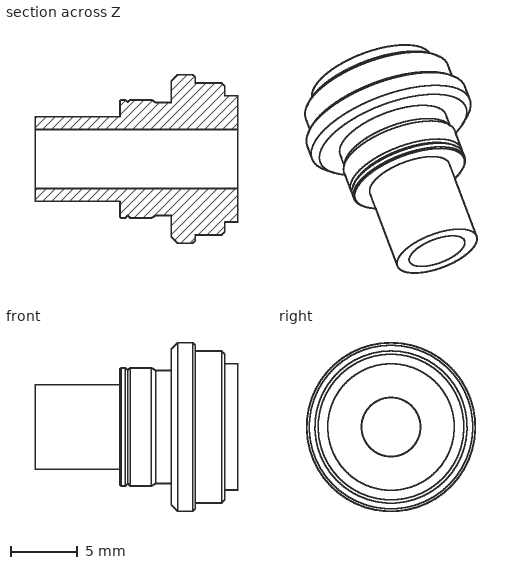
import cadquery as cq

bore_radius = 2.2
tube_radius = 3.18
collar_radius = 4.44
neck_radius = 4.24
flange_radius = 6.32
body_radius = 5.7
spigot_radius = 4.75

tube_end = 6.35
groove_bottom = 6.95
collar_end = 9.05
flange_start = 10.2
flange_end = 12.01
body_end = 14.21
total_length = 15.2

collar_front_chamfer = 0.09
groove_depth = 0.18
collar_rear_taper = 0.33
flange_front_chamfer = 0.49
flange_rear_chamfer = 0.2
body_chamfer = 0.25


def land(start, end, radius, front=0.0, rear=0.0, rear_drop=None):
    """Outline points of one cylindrical step; front and rear are chamfer lengths.

    The chamfers are at 45 degrees unless rear_drop gives another radial drop at the rear.
    """
    if rear_drop is None:
        rear_drop = rear
    points = [(start, radius - front)]
    if front:
        points.append((start + front, radius))
    if rear:
        points.append((end - rear, radius))
    points.append((end, radius - rear_drop))
    return points


outer_outline = (
    land(0, tube_end, tube_radius)
    + land(tube_end, groove_bottom, collar_radius, collar_front_chamfer, groove_depth)
    + land(
        groove_bottom, collar_end, collar_radius, groove_depth,
        collar_rear_taper, collar_radius - neck_radius,
    )[1:]
    + land(collar_end, flange_start, neck_radius)[1:]
    + land(flange_start, flange_end, flange_radius, flange_front_chamfer, flange_rear_chamfer)
    + land(flange_end, body_end, body_radius, rear=body_chamfer)
    + land(body_end, total_length, spigot_radius)
)

wall_section = [(0, bore_radius)] + outer_outline + [(total_length, bore_radius)]
result = (
    cq.Workplane("XZ")
    .polyline(wall_section)
    .close()
    .revolve(360, (0, 0, 0), (1, 0, 0))
)